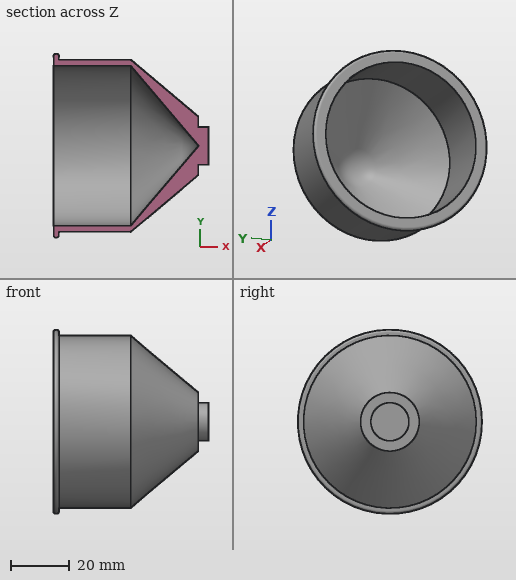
import cadquery as cq


body_diameter = 58.9
body_end = 26.4
cone_tip_diameter = 20.0
cone_end = 49.5

lip_projection = 2.0
lip_thickness = 2.0
lip_round = lip_thickness / 2

spigot_diameter = 13.0
overall_length = 53.0

bore_diameter = 54.5
bore_depth = body_end
cavity_depth = cone_end


def revolve_about_x(profile):
    return profile.close().revolve(360, (0, 0, 0), (1, 0, 0))


def make_outside():
    body_radius = body_diameter / 2
    lip_radius = body_radius + lip_projection
    lip_round_start = lip_radius - lip_round
    profile = (
        cq.Workplane("XY")
        .lineTo(0, lip_round_start)
        .threePointArc((lip_thickness / 2, lip_radius), (lip_thickness, lip_round_start))
        .lineTo(lip_thickness, body_radius)
        .lineTo(body_end, body_radius)
        .lineTo(cone_end, cone_tip_diameter / 2)
        .lineTo(cone_end, spigot_diameter / 2)
        .lineTo(overall_length, spigot_diameter / 2)
        .lineTo(overall_length, 0)
    )
    return revolve_about_x(profile)


def make_cavity():
    bore_radius = bore_diameter / 2
    profile = (
        cq.Workplane("XY")
        .lineTo(0, bore_radius)
        .lineTo(bore_depth, bore_radius)
        .lineTo(cavity_depth, 0)
    )
    return revolve_about_x(profile)


result = make_outside().cut(make_cavity())